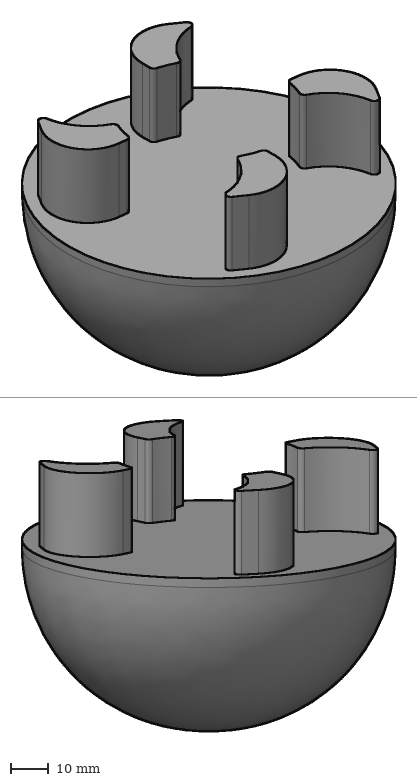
import cadquery as cq
import math

body_radius = 49.5
rim_height = 2.5
dome_depth = 48.2

post_count = 4
post_height = 22.7

back_center = (27.8, 17.9)
back_radius = 12.5
back_half_angle = 60
side_length = 11.9

hollow_center = (33.0, 1.3)
hollow_radius = 17.8
inner_end_radius = 25.5
corner_radius = 1.5


def make_body():
    blank = cq.Workplane("XY").circle(body_radius).extrude(-(rim_height + dome_depth))
    return blank.faces("<Z").edges().fillet(dome_depth)


def post_cylinder(radius, center):
    return cq.Workplane("XY").center(*center).circle(radius).extrude(post_height)


def make_post():
    sine = math.sin(math.radians(back_half_angle))
    cosine = math.cos(math.radians(back_half_angle))
    arc_x = back_radius * sine
    arc_y = back_radius * cosine
    foot_x = arc_x + side_length * cosine
    foot_y = arc_y - side_length * sine
    arch = (
        cq.Workplane("XY")
        .center(*back_center)
        .moveTo(-foot_x, foot_y)
        .lineTo(-arc_x, arc_y)
        .threePointArc((0, back_radius), (arc_x, arc_y))
        .lineTo(foot_x, foot_y)
        .close()
        .extrude(post_height)
    )
    crescent = (
        arch
        .cut(post_cylinder(hollow_radius, hollow_center))
        .cut(post_cylinder(inner_end_radius, (0, 0)))
    )
    corners = crescent.edges("|Z and (>X or <X or <Y)")
    return corners.fillet(corner_radius)


result = make_body()
post = make_post()
for index in range(post_count):
    angle = index * 360 / post_count
    result = result.union(post.rotate((0, 0, 0), (0, 0, 1), angle))